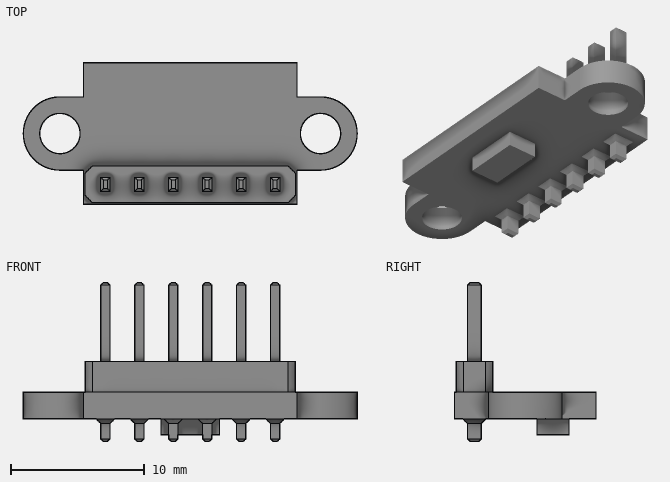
import cadquery as cq

overall_length = 25.0
board_length = 16.0
board_width = 10.6
board_thickness = 2.0

ear_radius = 2.75
ear_hole_radius = 1.5
ear_centre_x = overall_length / 2 - ear_radius
ear_ring_radius = 1.82

marker_radius = 0.5
marker_x = -6.5
marker_y = 4.05

header_length = 15.75
header_width = 2.75
header_height = 2.3
header_corner_chamfer = 0.55
header_y = -3.8
header_top = board_thickness + header_height

pin_count = 6
pin_row_span = 12.7
pin_pitch = pin_row_span / (pin_count - 1)
pin_size_x = 0.7
pin_size_y = 1.05
pin_above_header = 5.9
pin_below_board = 1.7
pin_tip_chamfer = 0.2
solder_spread = 0.35

chip_length = 4.4
chip_width = 2.42
chip_height = 1.2
chip_y = 2.08


def make_board():
    ears = cq.Workplane("XY").slot2D(overall_length, 2 * ear_radius).extrude(board_thickness)
    body = cq.Workplane("XY").rect(board_length, board_width).extrude(board_thickness)
    return body.union(ears)


def make_cylinders(centres, radius):
    """Upright cylinders through the full board thickness."""
    return cq.Workplane("XY").pushPoints(centres).circle(radius).extrude(board_thickness)


def make_header():
    return (
        cq.Workplane("XY", origin=(0, header_y, board_thickness))
        .rect(header_length, header_width)
        .extrude(header_height)
        .edges("|Z")
        .chamfer(header_corner_chamfer)
    )


def make_pin(x):
    """Chamfered rectangular pin with a pyramid of solder under the board."""
    pin_length = pin_below_board + header_top + pin_above_header
    pin = (
        cq.Workplane("XY", origin=(x, header_y, -pin_below_board))
        .rect(pin_size_x, pin_size_y)
        .extrude(pin_length)
        .faces("<Z or >Z")
        .chamfer(pin_tip_chamfer)
    )
    solder = (
        cq.Workplane("XY", origin=(x, header_y, 0))
        .rect(pin_size_x + 2 * solder_spread, pin_size_y + 2 * solder_spread)
        .workplane(offset=-solder_spread)
        .rect(pin_size_x, pin_size_y)
        .loft(combine=True)
    )
    return pin.union(solder)


def make_chip():
    return (
        cq.Workplane("XY", origin=(0, chip_y, 0))
        .rect(chip_length, chip_width)
        .extrude(-chip_height)
    )


ear_centres = [(-ear_centre_x, 0), (ear_centre_x, 0)]
ear_holes = make_cylinders(ear_centres, ear_hole_radius)
ear_rings = make_cylinders(ear_centres, ear_ring_radius)
marker = make_cylinders([(marker_x, marker_y)], marker_radius)

result = make_board().union(make_header()).union(make_chip())
for index in range(pin_count):
    result = result.union(make_pin(index * pin_pitch - pin_row_span / 2))

for inlay in (ear_rings, marker):
    result = result.cut(inlay, clean=False).union(inlay, clean=False)
result = result.cut(ear_holes, clean=False)